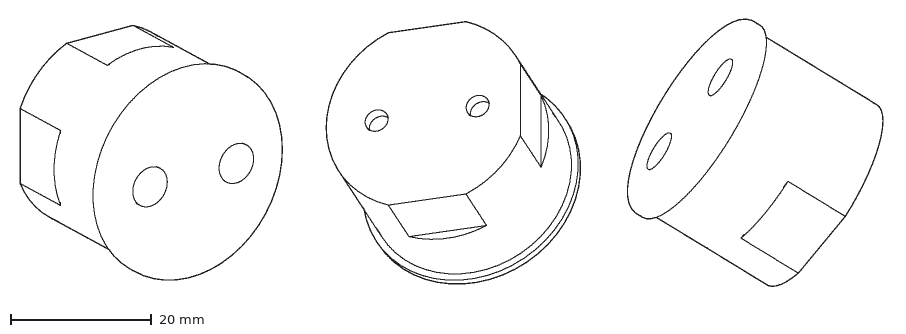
import cadquery as cq

total_length = 23.0
body_diameter = 30.0
flange_diameter = 32.0
flange_thickness = 2.0
flange_rounding = 1.0

flat_length = 10.0
flat_offset = 13.85
flat_directions = [0, 90, 180]

hole_spacing = 15.0
hole_diameter = 3.4
hole_seat_depth = 2.0
counterbore_diameter = 6.0


def disc(start_x, diameter, length):
    """Cylinder along +X, centred on the X axis."""
    return cq.Workplane("YZ", origin=(start_x, 0, 0)).circle(diameter / 2).extrude(length)


def flanged_body():
    """Round body with a flange whose outer end is rounded over."""
    body = disc(0, body_diameter, total_length)
    flange = disc(total_length - flange_thickness, flange_diameter, flange_thickness)
    flange = flange.faces(">X").edges().fillet(flange_rounding)
    return body.union(flange)


def flat_cutter(angle):
    """Block that removes the material outside one flat."""
    block = cq.Workplane("XY", origin=(0, 0, flat_offset)).box(
        flat_length, body_diameter, body_diameter, centered=(False, True, False)
    )
    return block.rotate((0, 0, 0), (1, 0, 0), angle)


def screw_hole(y):
    """Clearance hole at the free end, opening into a counterbore from the flange end."""
    clearance = disc(0, hole_diameter, total_length)
    counterbore = disc(hole_seat_depth, counterbore_diameter, total_length - hole_seat_depth)
    return clearance.union(counterbore).translate((0, y, 0))


result = flanged_body()
for angle in flat_directions:
    result = result.cut(flat_cutter(angle))
for side in (-1, 1):
    result = result.cut(screw_hole(side * hole_spacing / 2))